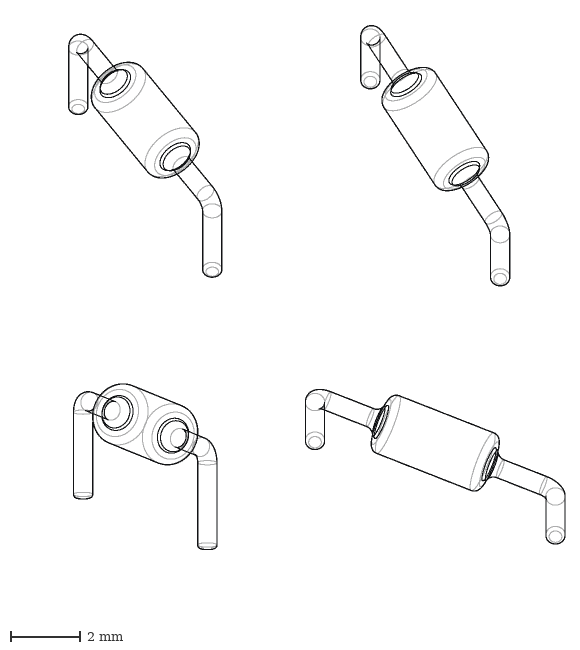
import cadquery as cq
import math

span = 8.17
body_diameter = 1.8
body_length = 3.41
body_edge_radius = 0.205
total_height = 3.82
wire_diameter = 0.56
bend_outer_radius = 0.67
tip_radius = 0.1

flare_start = 2.06
flare_end = 1.79
flare_radius = 0.46
seal_base_radius = 0.515

wire_radius = wire_diameter / 2
bend_radius = bend_outer_radius - wire_radius
half_body = body_length / 2
leg_x = span / 2 - wire_radius
tip_z = body_diameter / 2 - total_height


def make_body():
    """Glass cylinder with rounded end edges."""
    return (
        cq.Workplane("YZ", origin=(-half_body, 0, 0))
        .circle(body_diameter / 2)
        .extrude(body_length)
        .faces("<X or >X")
        .edges()
        .fillet(body_edge_radius)
    )


def make_wire():
    """Lead running through the body and bent down at both ends."""
    bend_start_x = leg_x - bend_radius
    bend_offset = bend_radius * math.sqrt(0.5)
    bend_mid_x = bend_start_x + bend_offset
    bend_mid_z = bend_offset - bend_radius
    path = (
        cq.Workplane("XZ")
        .moveTo(-leg_x, tip_z)
        .lineTo(-leg_x, -bend_radius)
        .threePointArc((-bend_mid_x, bend_mid_z), (-bend_start_x, 0))
        .lineTo(bend_start_x, 0)
        .threePointArc((bend_mid_x, bend_mid_z), (leg_x, -bend_radius))
        .lineTo(leg_x, tip_z)
    )
    wire = (
        cq.Workplane("XY", origin=(-leg_x, 0, tip_z))
        .circle(wire_radius)
        .sweep(path)
    )
    return wire.faces("<Z").edges().fillet(tip_radius)


def flare_midpoint():
    """Middle of the arc that leaves the lead tangentially."""
    length = flare_start - flare_end
    rise = flare_radius - wire_radius
    arc_radius = (length**2 + rise**2) / (2 * rise)
    half_angle = math.atan2(rise, length)
    return (
        -flare_start + arc_radius * math.sin(half_angle),
        wire_radius + arc_radius * (1 - math.cos(half_angle)),
    )


def make_seal():
    """Concave flare, tangent to the lead, ending in a short cone at the -X body face."""
    return (
        cq.Workplane("XY")
        .moveTo(-flare_start, 0)
        .lineTo(-flare_start, wire_radius)
        .threePointArc(flare_midpoint(), (-flare_end, flare_radius))
        .lineTo(-half_body, seal_base_radius)
        .lineTo(0, seal_base_radius)
        .lineTo(0, 0)
        .close()
        .revolve(360, (0, 0), (1, 0))
    )


left_seal = make_seal()
right_seal = left_seal.mirror("YZ")
result = make_body().union(left_seal).union(right_seal).union(make_wire())